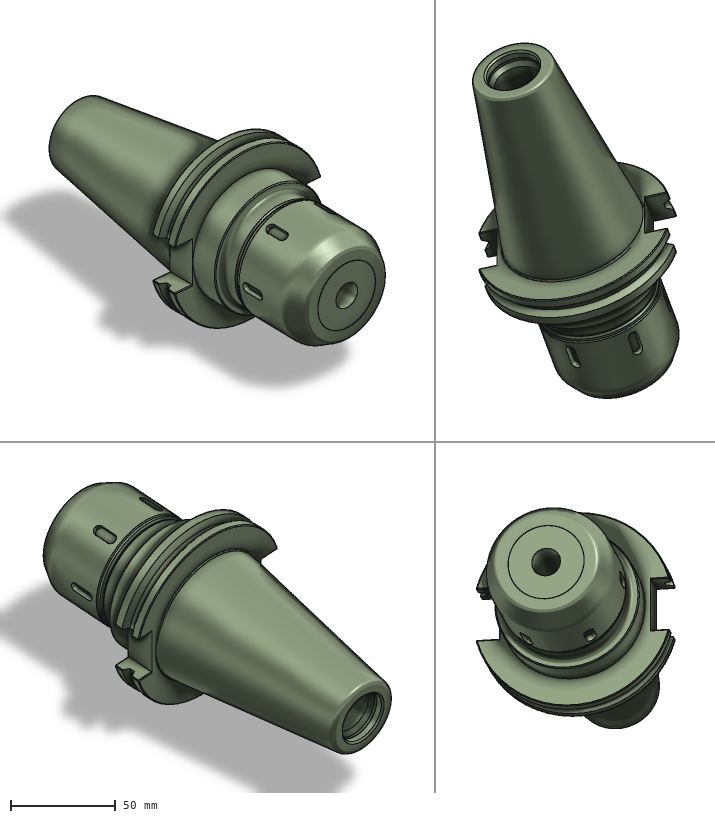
import cadquery as cq
import math


total_length = 191.6

taper_ratio = 7 / 24
taper_end_x = 103.0
taper_large_radius = 70.1 / 2
taper_small_radius = taper_large_radius - taper_end_x * taper_ratio / 2
tip_fillet = 2.5
flange_root_fillet = 0.8

flange_start_x = 104.8
flange_end_x = 121.0
flange_radius = 97.3 / 2
flange_chamfer = 0.48
groove_center_x = 112.7
groove_floor_width = 2.9
groove_depth = 3.5
groove_half_angle = math.radians(30)
groove_half_opening = groove_floor_width / 2 + groove_depth * math.tan(groove_half_angle)
keyway_width = 25.7
keyway_floor_back = 37.8
keyway_floor_front = 35.5

body_radius = 70.1 / 2
body_rim_chamfer = 0.5
body_end_x = 136.6
neck_radius = 60.0 / 2
neck_fillet = 2.9
neck_chamfer_x = 145.3
neck_end_x = 146.5
neck_end_radius = 29.1

ring_end_x = 148.7
ring_radius = 61.0 / 2
ring_chamfer = 1.0

nut_radius = 62.0 / 2
nut_rear_chamfer = 0.5
nut_end_x = 191.5
nose_round_start_x = 179.2
nose_round_radius = 8.0
nose_angle = math.radians(30)
nose_face_radius = 48 / 2
nose_edge_radius = 2.7
slot_count = 6
slot_length = 13.8
slot_width = 5.2
slot_depth = 3.0
slot_center_x = 159.0

core_radius = 36.8 / 2

mouth_radius = 28.2 / 2
pilot_radius = 26.3 / 2
relief_radius = 26.6 / 2
relief_start_x = 4.2
relief_end_x = 5.7
thread_hole_radius = 22.2 / 2
thread_hole_end_x = 44.5
through_hole_radius = 13.8 / 2
drill_half_angle = math.radians(59)


def revolve_about_axis(profile):
    """Turn a closed profile of (x, radius) points about the X axis."""
    return profile.close().revolve(360, (0, 0, 0), (1, 0, 0))


def make_shank():
    """Taper and short cylinder up to the flange, with rounded tip."""
    shank = revolve_about_axis(
        cq.Workplane("XY")
        .lineTo(0, taper_small_radius)
        .lineTo(taper_end_x, taper_large_radius)
        .lineTo(flange_start_x - flange_root_fillet, taper_large_radius)
        .radiusArc(
            (flange_start_x, taper_large_radius + flange_root_fillet), -flange_root_fillet
        )
        .lineTo(flange_start_x, 0)
    )
    return shank.faces("<X").edges().fillet(tip_fillet)


def make_flange():
    """Flange disc with V groove, chamfered rims and two keyways."""
    flange_width = flange_end_x - flange_start_x
    groove_floor_radius = flange_radius - groove_depth
    flange = revolve_about_axis(
        cq.Workplane("XY")
        .moveTo(flange_start_x, 0)
        .lineTo(flange_start_x, flange_radius)
        .lineTo(groove_center_x - groove_half_opening, flange_radius)
        .lineTo(groove_center_x - groove_floor_width / 2, groove_floor_radius)
        .lineTo(groove_center_x + groove_floor_width / 2, groove_floor_radius)
        .lineTo(groove_center_x + groove_half_opening, flange_radius)
        .lineTo(flange_end_x, flange_radius)
        .lineTo(flange_end_x, 0)
    )
    for side, floor in ((1, keyway_floor_back), (-1, keyway_floor_front)):
        keyway = cq.Workplane("XY").box(flange_width, flange_radius, keyway_width).translate(
            (flange_start_x + flange_width / 2, side * (floor + flange_radius / 2), 0)
        )
        flange = flange.cut(keyway)
    end_face_edges = flange.faces("<X or >X").edges("not |Z")
    land_edges = flange.edges("|X").filter(
        lambda edge: abs(edge.Center().y) > groove_floor_radius
    )
    return end_face_edges.add(land_edges).chamfer(flange_chamfer)


def make_body():
    """Body, filleted neck and the core inside the ring and the nut."""
    return revolve_about_axis(
        cq.Workplane("XY")
        .moveTo(flange_start_x, 0)
        .lineTo(flange_start_x, body_radius)
        .lineTo(body_end_x - body_rim_chamfer, body_radius)
        .lineTo(body_end_x, body_radius - body_rim_chamfer)
        .lineTo(body_end_x, neck_radius + neck_fillet)
        .radiusArc((body_end_x + neck_fillet, neck_radius), -neck_fillet)
        .lineTo(neck_chamfer_x, neck_radius)
        .lineTo(neck_end_x, neck_end_radius)
        .lineTo(neck_end_x, core_radius)
        .lineTo(total_length, core_radius)
        .lineTo(total_length, 0)
    )


def make_bore():
    """Stepped hole through the whole holder."""
    mouth_depth = mouth_radius - pilot_radius
    entry_cone_depth = relief_radius - thread_hole_radius
    drill_cone_depth = (thread_hole_radius - through_hole_radius) / math.tan(drill_half_angle)
    return revolve_about_axis(
        cq.Workplane("XY")
        .lineTo(0, mouth_radius)
        .lineTo(mouth_depth, pilot_radius)
        .lineTo(relief_start_x, pilot_radius)
        .lineTo(relief_start_x, relief_radius)
        .lineTo(relief_end_x, relief_radius)
        .lineTo(relief_end_x + entry_cone_depth, thread_hole_radius)
        .lineTo(thread_hole_end_x, thread_hole_radius)
        .lineTo(thread_hole_end_x + drill_cone_depth, through_hole_radius)
        .lineTo(total_length, through_hole_radius)
        .lineTo(total_length, 0)
    )


def make_holder():
    """One-piece holder: shank, flange and body, bored through."""
    return make_shank().union(make_flange()).union(make_body()).cut(make_bore())


def make_ring():
    """Ring between neck and nut, with a sloped rear rim."""
    return revolve_about_axis(
        cq.Workplane("XY")
        .moveTo(neck_end_x, core_radius)
        .lineTo(neck_end_x, ring_radius - ring_chamfer)
        .lineTo(neck_end_x + ring_chamfer, ring_radius)
        .lineTo(ring_end_x, ring_radius)
        .lineTo(ring_end_x, core_radius)
    )


def make_nut_blank():
    """Turned nut with a rounded conical nose."""
    cone_start_x = nose_round_start_x + nose_round_radius * math.sin(nose_angle)
    cone_start_radius = nut_radius - nose_round_radius * (1 - math.cos(nose_angle))
    cone_end_x = nut_end_x - nose_edge_radius * (1 - math.sin(nose_angle))
    cone_end_radius = cone_start_radius - (cone_end_x - cone_start_x) * math.tan(nose_angle)
    return revolve_about_axis(
        cq.Workplane("XY")
        .moveTo(ring_end_x, core_radius)
        .lineTo(ring_end_x, nut_radius - nut_rear_chamfer)
        .lineTo(ring_end_x + nut_rear_chamfer, nut_radius)
        .lineTo(nose_round_start_x, nut_radius)
        .radiusArc((cone_start_x, cone_start_radius), nose_round_radius)
        .lineTo(cone_end_x, cone_end_radius)
        .radiusArc((nut_end_x, nose_face_radius), nose_edge_radius)
        .lineTo(nut_end_x, core_radius)
    )


def make_nut():
    """Clamping nut with evenly spaced spanner slots, the first on the -Y side."""
    nut = make_nut_blank()
    slot = (
        cq.Workplane("XZ", origin=(slot_center_x, -(nut_radius - slot_depth), 0))
        .slot2D(slot_length, slot_width)
        .extrude(2 * slot_depth)
    )
    for index in range(slot_count):
        nut = nut.cut(slot.rotate((0, 0, 0), (1, 0, 0), index * 360 / slot_count))
    return nut


holder = make_holder().solids()
seal_ring = make_ring()
clamping_nut = make_nut().solids()

result = cq.Compound.makeCompound([holder.val(), seal_ring.val(), clamping_nut.val()])